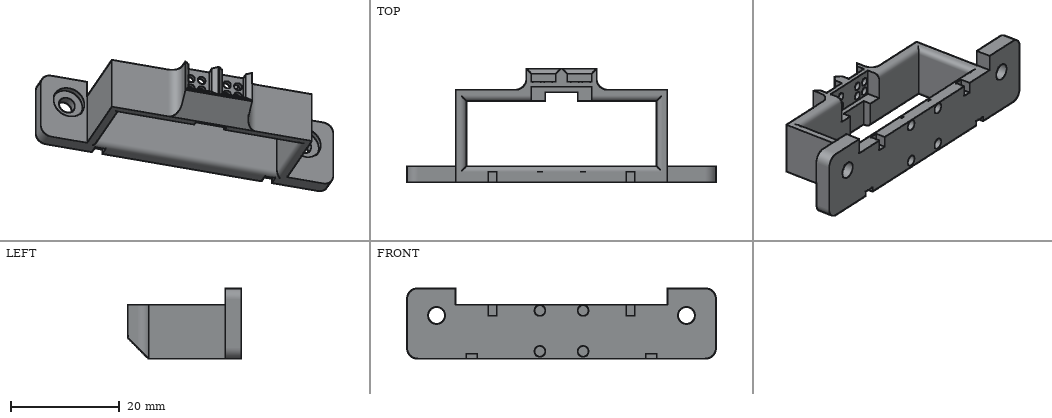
import cadquery as cq
import math


plate_width = 57.0
plate_height = 13.0
plate_thickness = 3.0
plate_corner_radius = 2.0
screw_hole_diameter = 3.1
screw_hole_x = 23.0
screw_hole_z = 8.0
screw_head_diameter = 6.0
screw_head_depth = 1.15

frame_width = 39.0
frame_depth = 17.1
frame_height = 10.0
wall = 2.0
back_wall = 2.1
rim_radius = 1.0
opening_width = frame_width - 2 * wall
inner_y = frame_depth - back_wall

front_hole_diameter = 2.0
front_hole_depth = 2.0
front_hole_x = 4.0
front_hole_heights = (1.35, 8.9)
top_notch_width = 1.6
top_notch_height = 2.05
top_notch_x = 12.7
bottom_notch_width = 2.0
bottom_notch_height = 0.9
bottom_notch_x = 16.55
notch_depth = plate_thickness - rim_radius

total_depth = 21.0
block_width = 13.0
block_root_radius = 2.0
block_projection = total_depth - frame_depth
socket_floor = 5.0
socket_inner_x = 1.0
socket_outer_x = 5.6
socket_front_y = 18.5
socket_flare = block_width / 2 - socket_outer_x

recess_width = 2 * socket_outer_x
recess_floor = socket_floor
recess_back_y = 17.6
cable_slot_width = 6.0
cable_slot_back_y = 16.6

contact_diameter = 1.5
contact_column_pitch = 2.1
contact_row_pitch = 2.0
contact_centre_x = 3.55
contact_centre_z = 7.0


def block(x_min, x_max, y_min, y_max, z_min, z_max):
    """Axis-aligned box given by its limits."""
    size = (x_max - x_min, y_max - y_min, z_max - z_min)
    return cq.Workplane("XY").box(*size, centered=False).translate((x_min, y_min, z_min))


def centred_block(width, y_min, y_max, z_min, z_max, x_centre=0):
    """Axis-aligned box centred on x_centre."""
    return block(x_centre - width / 2, x_centre + width / 2, y_min, y_max, z_min, z_max)


def pin_along_y(x, z, diameter, y_min, y_max):
    """Cylinder parallel to Y."""
    start = cq.Vector(x, y_min, z)
    return cq.Workplane(cq.Solid.makeCylinder(diameter / 2, y_max - y_min, start, cq.Vector(0, 1, 0)))


def make_plate():
    """Rounded plate, lowered between its ears, with screw holes counterbored from behind."""
    plate = centred_block(plate_width, 0, plate_thickness, 0, plate_height)
    plate = plate.edges("|Y").fillet(plate_corner_radius)
    plate = plate.cut(centred_block(frame_width, 0, plate_thickness, frame_height, plate_height))
    screw_head_y = plate_thickness - screw_head_depth
    for side in (-1, 1):
        x = side * screw_hole_x
        plate = plate.cut(pin_along_y(x, screw_hole_z, screw_hole_diameter, 0, plate_thickness))
        plate = plate.cut(pin_along_y(x, screw_hole_z, screw_head_diameter, screw_head_y, plate_thickness))
    return plate


def make_connector_block():
    """Block with concave roots and an underside sloping up at 45 degrees."""
    half = block_width / 2
    r = block_root_radius
    root_y = frame_depth + r
    arc_reach = r * (1 - math.sqrt(0.5))
    body = (
        cq.Workplane("XY")
        .moveTo(-half - r, inner_y)
        .lineTo(-half - r, frame_depth)
        .threePointArc((-half - arc_reach, frame_depth + arc_reach), (-half, root_y))
        .lineTo(-half, total_depth)
        .lineTo(half, total_depth)
        .lineTo(half, root_y)
        .threePointArc((half + arc_reach, frame_depth + arc_reach), (half + r, frame_depth))
        .lineTo(half + r, inner_y)
        .close()
        .extrude(frame_height)
    )
    slope = (
        cq.Workplane("YZ")
        .polyline([(frame_depth, 0), (total_depth, 0), (total_depth, block_projection)])
        .close()
        .extrude(half + r, both=True)
    )
    return body.cut(slope)


def make_frame_block():
    """Solid envelope of the frame."""
    return centred_block(frame_width, 0, frame_depth, 0, frame_height)


def make_opening():
    """Opening through the frame that widens in a quarter round at both ends."""
    frame = make_frame_block()
    opening = centred_block(opening_width, plate_thickness, inner_y, 0, frame_height)
    half_x = opening_width / 2 + wall / 2
    inside = cq.selectors.BoxSelector(
        (-half_x, plate_thickness / 2, -wall),
        (half_x, inner_y + back_wall / 2, frame_height + wall),
    )
    rounded = frame.cut(opening).edges(inside).edges("#Z").fillet(rim_radius)
    return frame.cut(rounded)


def make_socket(side):
    """Socket open at the top, flared towards the back of the connector block."""
    x_min, x_max = sorted((side * socket_inner_x, side * socket_outer_x))
    socket = block(x_min, x_max, socket_front_y, total_depth, socket_floor, frame_height)
    flare_start = total_depth - socket_flare
    width = x_max - x_min
    height = frame_height - socket_floor
    middle = ((x_min + x_max) / 2, flare_start, (frame_height + socket_floor) / 2)
    flare = (
        cq.Workplane(cq.Plane(middle, xDir=(-1, 0, 0), normal=(0, 1, 0)))
        .rect(width, height)
        .workplane(offset=socket_flare)
        .rect(width + 2 * socket_flare, height + 2 * socket_flare)
        .loft(ruled=True)
    )
    return socket.union(flare)


def cut_front_details(body):
    """Blind holes in the front face and notches in its long edges."""
    for side in (-1, 1):
        for z in front_hole_heights:
            body = body.cut(pin_along_y(side * front_hole_x, z, front_hole_diameter, 0, front_hole_depth))
        body = body.cut(
            centred_block(
                top_notch_width, 0, notch_depth,
                frame_height - top_notch_height, frame_height, side * top_notch_x,
            )
        )
        body = body.cut(
            centred_block(bottom_notch_width, 0, notch_depth, 0, bottom_notch_height, side * bottom_notch_x)
        )
    return body


def cut_connector_details(body):
    """Recess, cable slot, sockets and the contact holes joining them."""
    body = body.cut(centred_block(recess_width, inner_y, recess_back_y, recess_floor, frame_height))
    body = body.cut(centred_block(cable_slot_width, inner_y, cable_slot_back_y, 0, frame_height))
    for side in (-1, 1):
        body = body.cut(make_socket(side))
        for column in (-0.5, 0.5):
            for row in (-0.5, 0.5):
                x = side * contact_centre_x + column * contact_column_pitch
                z = contact_centre_z + row * contact_row_pitch
                body = body.cut(pin_along_y(x, z, contact_diameter, recess_back_y, socket_front_y))
    return body


body = make_plate().union(make_frame_block()).union(make_connector_block()).cut(make_opening())
result = cut_connector_details(cut_front_details(body))